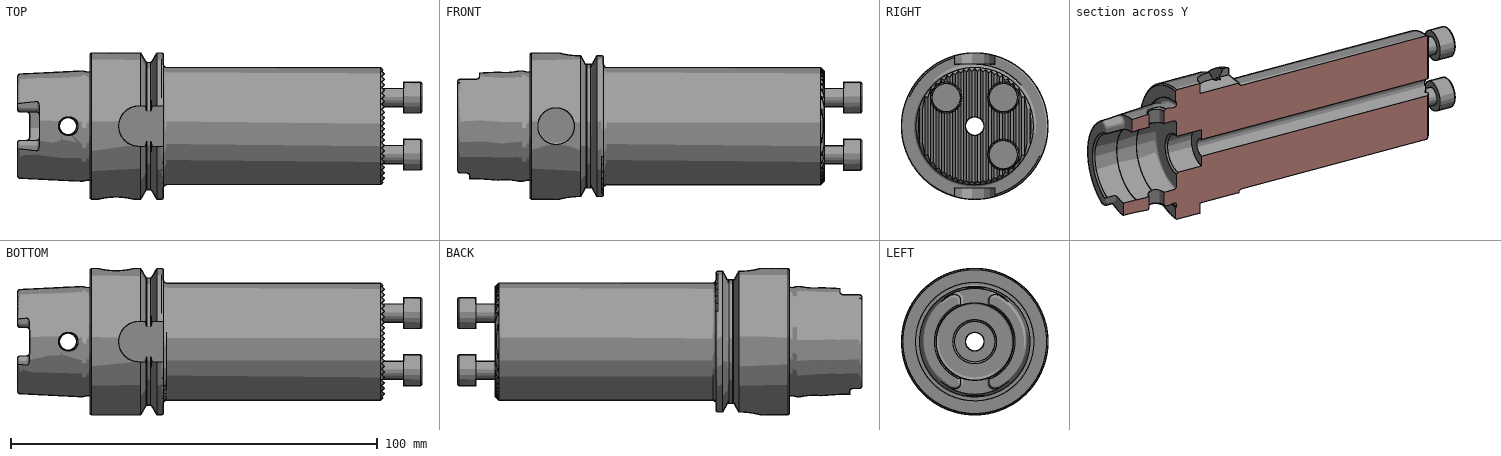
import cadquery as cq
import math


shank_length = 20.0
taper_ratio = 0.1
taper_large_radius = 15.08
taper_end_x = -2.3
neck_radius = 14.8
neck_start_x = -1.1
shank_edge_fillet = 0.8

flange_radius = 20.0
flange_front_x = -0.25
flange_rear_x = 19.8
flange_front_chamfer = 0.4
face_recess_radius = 16.15
face_recess_floor_x = 0.1
neck_fillet = 0.6
groove_center_x = 15.8
groove_floor_radius = 17.4
groove_mouth_width = 4.4
groove_flank_angle = 30.0
groove_root_fillet = 0.4
flange_rear_fillet = 0.5

body_radius = 16.0
body_root_fillet = 0.9
body_end_x = 80.0
body_end_chamfer = 1.0

tooth_pitch = 1.5
tooth_depth = 0.7

bore_radius = 10.5
bore_mouth_chamfer = 0.5
bore_relief_start_x = -12.6
bore_relief_end_x = -6.4
bore_relief_depth = 0.1
bore_floor_fillet = 0.7
bore_floor_x = 0.0
tube_hole_radius = 5.5
tube_hole_depth = 8.0
tube_hole_chamfer = 0.5
coolant_hole_radius = 2.5

drive_slot_width = 7.7
drive_slot_corner_radius = 1.5
drive_slot_shoulder_z = 12.8
upper_slot_floor_x = -14.0
lower_slot_floor_x = -16.7
slot_floor_fillet = 0.8

cross_hole_x = -6.2
cross_hole_radius = 2.3
cross_hole_sink_radius = 2.75
cross_hole_sink_depth = 0.5

keyway_width = 11.0
keyway_start_x = 7.6
keyway_floor_z = 16.9
chip_hole_x = 6.9
chip_hole_radius = 5.0
chip_hole_depth = 5.2
chip_hole_floor_fillet = 0.4

screw_circle_radius = 11.0
screw_count = 3
screw_pitch_angle = 90.0
screw_first_angle = -45.0
screw_radius = 2.5
screw_head_radius = 4.25
screw_head_length = 5.0
screw_head_chamfer = 0.4
screw_end_x = 90.3
screw_hole_depth = 10.0


def revolve_about_x(profile):
    """Turn a closed (x, radius) profile about the X axis."""
    return profile.close().revolve(360, (0, 0, 0), (1, 0, 0))


def cylinder_x(x_start, x_end, radius, y=0.0, z=0.0):
    """Cylinder parallel to X."""
    return cq.Workplane("YZ", origin=(x_start, y, z)).circle(radius).extrude(x_end - x_start)


def corner_mid(radius):
    """Distance from a tangent line to the middle of a quarter-circle fillet."""
    return radius * (1 - math.cos(math.pi / 4))


def shank_blank():
    """Solid taper shank with its neck, reaching into the flange."""
    taper_length = shank_length + taper_end_x
    taper_small_radius = taper_large_radius - taper_length * taper_ratio / 2
    fillet_mid = corner_mid(neck_fillet)
    profile = (
        cq.Workplane("XY")
        .moveTo(-shank_length, 0)
        .lineTo(-shank_length, taper_small_radius)
        .lineTo(taper_end_x, taper_large_radius)
        .lineTo(neck_start_x, neck_radius)
        .lineTo(face_recess_floor_x - neck_fillet, neck_radius)
        .threePointArc(
            (face_recess_floor_x - fillet_mid, neck_radius + fillet_mid),
            (face_recess_floor_x, neck_radius + neck_fillet),
        )
        .lineTo(face_recess_floor_x, 0)
    )
    return revolve_about_x(profile)


def drive_slot(floor_x, side):
    """Cutter for one drive slot: parallel walls that round over onto flat shoulders."""
    half_width = drive_slot_width / 2
    radius = drive_slot_corner_radius
    shoulder_y = half_width + radius
    arc_mid_y = half_width + corner_mid(radius)
    arc_start_z = drive_slot_shoulder_z - radius
    arc_mid_z = drive_slot_shoulder_z - corner_mid(radius)
    outer = flange_radius
    profile = (
        cq.Workplane("YZ", origin=(-shank_length, 0, 0))
        .moveTo(-half_width, 0)
        .lineTo(half_width, 0)
        .lineTo(half_width, side * arc_start_z)
        .threePointArc((arc_mid_y, side * arc_mid_z), (shoulder_y, side * drive_slot_shoulder_z))
        .lineTo(outer, side * drive_slot_shoulder_z)
        .lineTo(outer, side * outer)
        .lineTo(-outer, side * outer)
        .lineTo(-outer, side * drive_slot_shoulder_z)
        .lineTo(-shoulder_y, side * drive_slot_shoulder_z)
        .threePointArc((-arc_mid_y, side * arc_mid_z), (-half_width, side * arc_start_z))
        .close()
    )
    return profile.extrude(floor_x + shank_length).faces(">X").edges().fillet(slot_floor_fillet)


def shank():
    """Taper shank with both drive slots and a rounded front end."""
    slotted = shank_blank().cut(drive_slot(upper_slot_floor_x, 1)).cut(drive_slot(lower_slot_floor_x, -1))
    return slotted.faces("<X").edges().fillet(shank_edge_fillet)


def flange_and_body():
    """Flange with a recessed front face, followed by the round body."""
    rear_corner_x = flange_rear_x - flange_rear_fillet
    rear_mid = corner_mid(flange_rear_fillet)
    root_mid = corner_mid(body_root_fillet)
    profile = (
        cq.Workplane("XY")
        .moveTo(face_recess_floor_x, 0)
        .lineTo(face_recess_floor_x, face_recess_radius)
        .lineTo(flange_front_x, face_recess_radius)
        .lineTo(flange_front_x, flange_radius - flange_front_chamfer)
        .lineTo(flange_front_x + flange_front_chamfer, flange_radius)
        .lineTo(rear_corner_x, flange_radius)
        .threePointArc(
            (flange_rear_x - rear_mid, flange_radius - rear_mid),
            (flange_rear_x, flange_radius - flange_rear_fillet),
        )
        .lineTo(flange_rear_x, body_radius + body_root_fillet)
        .threePointArc(
            (flange_rear_x + root_mid, body_radius + root_mid),
            (flange_rear_x + body_root_fillet, body_radius),
        )
        .lineTo(body_end_x - body_end_chamfer, body_radius)
        .lineTo(body_end_x, body_radius - body_end_chamfer)
        .lineTo(body_end_x, 0)
    )
    return revolve_about_x(profile)


def gripper_groove():
    """Ring cutter for the V-flanked gripper groove with rounded root corners."""
    flank = math.radians(groove_flank_angle)
    half_mouth = groove_mouth_width / 2
    half_floor = half_mouth - (flange_radius - groove_floor_radius) * math.tan(flank)
    sweep = math.pi / 2 - flank
    fillet_x = half_floor - groove_root_fillet * math.tan(sweep / 2)
    fillet_height = groove_floor_radius + groove_root_fillet

    def root_point(side, angle):
        x = groove_center_x + side * (fillet_x + groove_root_fillet * math.sin(angle))
        return (x, fillet_height - groove_root_fillet * math.cos(angle))

    profile = (
        cq.Workplane("XY")
        .moveTo(groove_center_x - half_mouth, flange_radius)
        .lineTo(*root_point(-1, sweep))
        .threePointArc(root_point(-1, sweep / 2), root_point(-1, 0))
        .lineTo(*root_point(1, 0))
        .threePointArc(root_point(1, sweep / 2), root_point(1, sweep))
        .lineTo(groove_center_x + half_mouth, flange_radius)
    )
    return revolve_about_x(profile)


def serration_grooves():
    """V grooves across the end face, running along Z, with one root on the axis."""
    side_count = math.floor(body_radius / tooth_pitch)
    depth_x = body_end_x - tooth_depth
    grooves = cq.Workplane("XY", origin=(0, 0, -body_radius))
    for index in range(-side_count, side_count + 1):
        root_y = index * tooth_pitch
        grooves = (
            grooves.moveTo(depth_x, root_y)
            .lineTo(body_end_x, root_y + tooth_depth)
            .lineTo(body_end_x, root_y - tooth_depth)
            .close()
        )
    return grooves.extrude(2 * body_radius)


def axial_holes():
    """Bore with a shallow relief, then the coolant tube hole and the coolant hole."""
    relief_radius = bore_radius + bore_relief_depth
    floor_mid = corner_mid(bore_floor_fillet)
    tube_hole_end_x = bore_floor_x + tube_hole_depth
    profile = (
        cq.Workplane("XY")
        .moveTo(-shank_length, 0)
        .lineTo(-shank_length, bore_radius + bore_mouth_chamfer)
        .lineTo(-shank_length + bore_mouth_chamfer, bore_radius)
        .lineTo(bore_relief_start_x, bore_radius)
        .lineTo(bore_relief_start_x, relief_radius)
        .lineTo(bore_relief_end_x, relief_radius)
        .lineTo(bore_relief_end_x, bore_radius)
        .lineTo(bore_floor_x - bore_floor_fillet, bore_radius)
        .threePointArc(
            (bore_floor_x - floor_mid, bore_radius - floor_mid),
            (bore_floor_x, bore_radius - bore_floor_fillet),
        )
        .lineTo(bore_floor_x, tube_hole_radius + tube_hole_chamfer)
        .lineTo(bore_floor_x + tube_hole_chamfer, tube_hole_radius)
        .lineTo(tube_hole_end_x, tube_hole_radius)
        .lineTo(tube_hole_end_x, coolant_hole_radius)
        .lineTo(body_end_x, coolant_hole_radius)
        .lineTo(body_end_x, 0)
    )
    return revolve_about_x(profile)


def cross_hole():
    """Hole through both shank walls along Z, countersunk from outside."""
    surface_radius = taper_large_radius - (taper_end_x - cross_hole_x) * taper_ratio / 2
    sink_floor = surface_radius - cross_hole_sink_depth
    profile = (
        cq.Workplane("XZ", origin=(cross_hole_x, 0, 0))
        .moveTo(0, -flange_radius)
        .lineTo(cross_hole_sink_radius, -flange_radius)
        .lineTo(cross_hole_sink_radius, -surface_radius)
        .lineTo(cross_hole_radius, -sink_floor)
        .lineTo(cross_hole_radius, sink_floor)
        .lineTo(cross_hole_sink_radius, surface_radius)
        .lineTo(cross_hole_sink_radius, flange_radius)
        .lineTo(0, flange_radius)
        .close()
    )
    return profile.revolve(360, (0, 0, 0), (0, 1, 0))


def keyway(side):
    """Cutter for a flat-bottomed keyway with a round closed end, open toward the body."""
    half_width = keyway_width / 2
    profile = (
        cq.Workplane("XY", origin=(0, 0, side * keyway_floor_z))
        .moveTo(flange_rear_x, -half_width)
        .lineTo(flange_rear_x, half_width)
        .lineTo(keyway_start_x + half_width, half_width)
        .threePointArc((keyway_start_x, 0), (keyway_start_x + half_width, -half_width))
        .close()
    )
    return profile.extrude(side * (flange_radius - keyway_floor_z))


def chip_hole():
    """Cutter for the blind data chip hole on the -Y side of the flange."""
    hole = cq.Workplane("XZ", origin=(chip_hole_x, -flange_radius + chip_hole_depth, 0))
    hole = hole.circle(chip_hole_radius).extrude(chip_hole_depth)
    return hole.faces(">Y").edges().fillet(chip_hole_floor_fillet)


def screw_places():
    """(y, z) centres of the screws on their bolt circle."""
    places = []
    for index in range(screw_count):
        angle = math.radians(screw_first_angle + index * screw_pitch_angle)
        places.append((screw_circle_radius * math.cos(angle), screw_circle_radius * math.sin(angle)))
    return places


def make_holder():
    """Complete tool holder."""
    body = flange_and_body().union(shank()).cut(gripper_groove())
    for side in (1, -1):
        body = body.cut(keyway(side))
    body = body.cut(axial_holes()).cut(cross_hole()).cut(chip_hole()).cut(serration_grooves())
    for y, z in screw_places():
        body = body.cut(cylinder_x(body_end_x - screw_hole_depth, body_end_x, screw_radius, y, z))
    return body


def make_screw(y, z):
    """Screw parallel to X: a plain shank and a cylindrical head."""
    head_x = screw_end_x - screw_head_length
    head = cylinder_x(head_x, screw_end_x, screw_head_radius, y, z).faces(">X").chamfer(screw_head_chamfer)
    return head.union(cylinder_x(body_end_x - screw_hole_depth, head_x, screw_radius, y, z))


holder = make_holder()
screws = [make_screw(y, z) for y, z in screw_places()]
result = cq.Compound.makeCompound([holder.val(), *[screw.val() for screw in screws]])